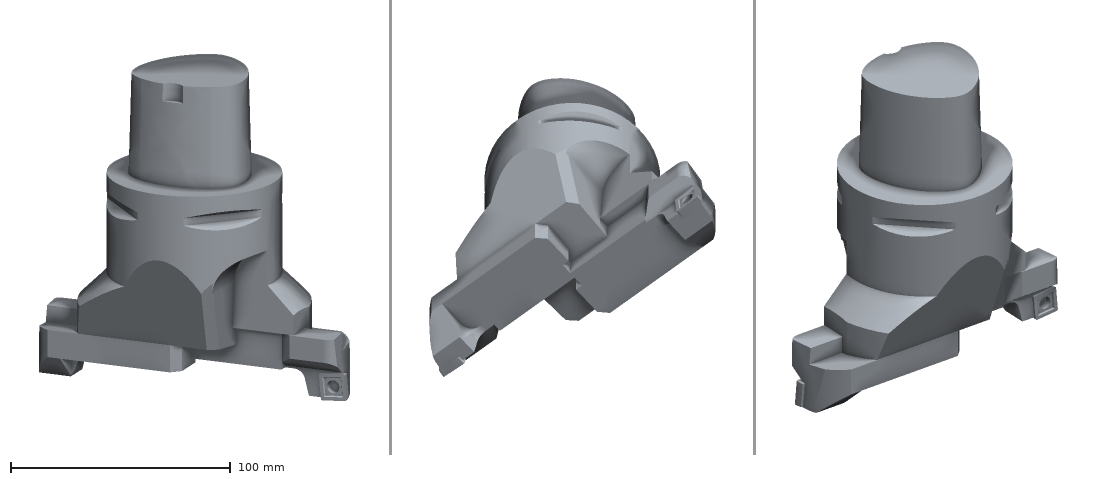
import cadquery as cq
import math

TOTAL_LENGTH = 150.0
TOTAL_HEIGHT = 149.2
COLLAR_TOP = 101.4
CONE_TOP = 54.0

SHANK_LENGTH = TOTAL_HEIGHT - COLLAR_TOP
SHANK_MEAN_RADIUS = 26.7
SHANK_TAPER = 0.028
LOBE_HEIGHT = 2.1
LOBE_HALF_ANGLE = 33.5
CURVE_STEPS = 8
KEYWAY_RADIUS = 6.3
KEYWAY_CENTRE_Y = -28.2
KEYWAY_DEPTH = 8.2

COLLAR_RADIUS = 80.0 / 2
SKIRT_RADIUS = 53.4
SKIRT_HALF_LENGTH = 52.3
CONE_BOTTOM = CONE_TOP - (SKIRT_RADIUS - COLLAR_RADIUS)
FLANK_TOP = 70.0
FLANK_SLOPE = 0.32
GRIP_CHORD_DISTANCE = 35.2
GRIP_MID_HEIGHT = 89.2
GRIP_FLAT_HEIGHT = 3.6
GRIP_OPENING = 8.7
BIG = 90.0

POCKET_WALL_X = 21.6
POCKET_WALL_TILT = 0.047
POCKET_ARC_BOTTOM = 55.2
POCKET_TOP = 70.8
POCKET_TOP_X = 39.3
POCKET_CHAMFER = 4.2

KEY_HALF_WIDTH = 6.9
KEY_TOP = 31.5
KEY_CLEARANCE = 0.3
SLIDE_HALF_WIDTH = 26.1
SLIDE_BOTTOM = 13.0
ROOF_HEIGHT = 23.2
ROOF_SLOPE = 0.14
SLIDE_OVERLAP = 3.5
SLIDE_END_CHAMFER = 4.2
TIP_X = 73.6
NOSE_FILLET = 6.5
NOSE_ARC_START_X = 61.6
NOSE_ARC_MID = (69.7, 17.0)
END_FACE_X = 71.1
END_FACE_LEAD = 0.09
END_FACE_RELIEF = 0.12
KEY_RECESS_Y = -1.5
KEY_RECESS_END_X = 44.2
KEY_STEP_END_X = 50.4

HEAD_BOTTOM = 0.97
HEAD_INNER_X = 55.8
HEAD_FILLET_START_X = 48.5
HEAD_FILLET_MID = (52.2, 11.5)
HEAD_FILLET_END = (53.8, 8.4)
UNDERCUT_END_Y = 12.9
WEB_WIDTH_Y = 6.1
WEB_FILLET = 6.3
WEB_OUTER_X = 55.5
CHIP_ROOF_BACK = 14.0
CHIP_ROOF_SLOPE = 0.69
CHIP_START_X = 44.0

INSERT_SIDE = 12.7
INSERT_CORNER = 0.7
INSERT_THICKNESS = 3.9
INSERT_RELIEF = 7.0
INSERT_TILT = 5.0
TILT_ANGLE = math.radians(INSERT_TILT)
INSERT_REACH = (
    (INSERT_SIDE / 2 - INSERT_CORNER) * (math.cos(TILT_ANGLE) + math.sin(TILT_ANGLE)) + INSERT_CORNER
)
INSERT_CENTRE_X = TOTAL_LENGTH / 2 - INSERT_REACH
INSERT_CENTRE_Z = INSERT_REACH
INSERT_FACE_Y = 1.27
INSERT_STEP = 1.3
INSERT_HOLE_DIAMETER = 6.1
DISH_SIDE = 9.3
DISH_DEPTH = 0.7
DISH_DRAFT = 30.0


def half_turn(shape):
    return shape.rotate((0, 0, 0), (0, 0, 1), 180)


def prism_along_x(points, start, end):
    return cq.Workplane("YZ", origin=(start, 0, 0)).polyline(points).close().extrude(end - start)



def shank_profile(mean_radius, height):
    """Three lobes and three flanks, the curve whose support is mean + lobe * cos(3 * angle)."""
    def point(degrees):
        angle = math.radians(degrees)
        support = mean_radius + LOBE_HEIGHT * math.cos(3 * angle)
        change = -3 * LOBE_HEIGHT * math.sin(3 * angle)
        across = support * math.cos(angle) - change * math.sin(angle)
        along = support * math.sin(angle) + change * math.cos(angle)
        return cq.Vector(-along, across, height)

    def curve(start, end):
        step = (end - start) / CURVE_STEPS
        return cq.Edge.makeSpline([point(start + step * i) for i in range(CURVE_STEPS + 1)])

    edges = []
    for tip in (0, 120, 240):
        edges.append(curve(tip - LOBE_HALF_ANGLE, tip + LOBE_HALF_ANGLE))
        edges.append(curve(tip + LOBE_HALF_ANGLE, tip + 120 - LOBE_HALF_ANGLE))
    return cq.Wire.assembleEdges(edges)


def make_shank():
    base_radius = SHANK_MEAN_RADIUS + SHANK_TAPER * SHANK_LENGTH
    bottom = shank_profile(base_radius, COLLAR_TOP)
    top = shank_profile(SHANK_MEAN_RADIUS, TOTAL_HEIGHT)
    keyway = (
        cq.Workplane("XY", origin=(0, KEYWAY_CENTRE_Y, TOTAL_HEIGHT - KEYWAY_DEPTH))
        .circle(KEYWAY_RADIUS).extrude(KEYWAY_DEPTH)
    )
    return cq.Workplane(cq.Solid.makeLoft([bottom, top], True)).cut(keyway)


def flank_y(height):
    return COLLAR_RADIUS - FLANK_SLOPE * (FLANK_TOP - height)


def make_skirt_and_collar():
    turned = (
        cq.Workplane("XZ")
        .polyline([(0, 0), (SKIRT_RADIUS, 0), (SKIRT_RADIUS, CONE_BOTTOM), (COLLAR_RADIUS, CONE_TOP),
                   (COLLAR_RADIUS, COLLAR_TOP), (0, COLLAR_TOP)])
        .close().revolve(360, (0, 0, 0), (0, 1, 0))
    )
    between_flanks = prism_along_x(
        [(-flank_y(0), 0), (flank_y(0), 0),
         (flank_y(COLLAR_TOP), COLLAR_TOP), (-flank_y(COLLAR_TOP), COLLAR_TOP)],
        -SKIRT_HALF_LENGTH, SKIRT_HALF_LENGTH)
    return turned.intersect(between_flanks)


def make_grip_groove():
    depth = COLLAR_RADIUS - GRIP_CHORD_DISTANCE
    half_flat = GRIP_FLAT_HEIGHT / 2
    flare = (GRIP_OPENING - GRIP_FLAT_HEIGHT) / 2
    return (
        cq.Workplane("XZ", origin=(GRIP_CHORD_DISTANCE, 0, GRIP_MID_HEIGHT))
        .polyline([(0, -half_flat), (depth, -half_flat - flare), (depth, half_flat + flare), (0, half_flat)])
        .close().extrude(COLLAR_RADIUS, both=True)
    )


def make_clearance_pocket():
    """Pocket over the +X insert, open toward -Y, with its wall corner chamfered along the flank."""
    arc_bottom_x = POCKET_WALL_X + POCKET_WALL_TILT * (POCKET_ARC_BOTTOM - ROOF_HEIGHT)
    base_x = POCKET_WALL_X - POCKET_WALL_TILT * ROOF_HEIGHT
    radius = POCKET_TOP - POCKET_ARC_BOTTOM
    diagonal = radius * math.cos(math.pi / 4)
    arc_mid = (POCKET_TOP_X - diagonal, POCKET_ARC_BOTTOM + diagonal)
    room = (
        cq.Workplane("XZ", origin=(0, -KEY_HALF_WIDTH, 0))
        .moveTo(base_x, 0).lineTo(arc_bottom_x, POCKET_ARC_BOTTOM)
        .threePointArc(arc_mid, (POCKET_TOP_X, POCKET_TOP))
        .lineTo(BIG, POCKET_TOP).lineTo(BIG, 0).close().extrude(BIG)
    )
    corner_y = -flank_y(0)
    triangle = cq.Wire.makePolygon([
        cq.Vector(base_x - 2 * POCKET_CHAMFER, corner_y - POCKET_CHAMFER, 0),
        cq.Vector(base_x, corner_y + POCKET_CHAMFER, 0),
        cq.Vector(base_x, corner_y - POCKET_CHAMFER, 0)], close=True)
    along_flank = cq.Vector(POCKET_WALL_TILT, -FLANK_SLOPE, 1) * POCKET_TOP
    return room.union(cq.Workplane(cq.Solid.extrudeLinear(triangle, [], along_flank)))


def roof_height(y):
    return ROOF_HEIGHT + ROOF_SLOPE * (y - KEY_HALF_WIDTH)


def make_slide_room():
    """Space under the housing for the two slides: a two-sided roof and the key slots."""
    ceiling = prism_along_x(
        [(-BIG, 0), (BIG, 0), (BIG, roof_height(BIG)), (0, roof_height(0)), (-BIG, roof_height(BIG))],
        -BIG, BIG)
    slot_top = KEY_TOP + KEY_CLEARANCE
    inner_slot = cq.Workplane("XY").box(
        POCKET_WALL_X, KEY_HALF_WIDTH - KEY_RECESS_Y, slot_top, centered=False)
    inner_slot = inner_slot.translate((0, KEY_RECESS_Y, 0))
    outer_slot = cq.Workplane("XY").box(
        BIG, 2 * KEY_HALF_WIDTH, slot_top, centered=(False, True, False))
    outer_slot = outer_slot.translate((POCKET_WALL_X, 0, 0))
    slot = inner_slot.union(outer_slot)
    return ceiling.union(slot).union(half_turn(slot))


def make_housing():
    body = make_skirt_and_collar()
    for quarter in range(4):
        body = body.cut(make_grip_groove().rotate((0, 0, 0), (0, 0, 1), 45 + 90 * quarter))
    pocket = make_clearance_pocket()
    body = body.cut(pocket).cut(half_turn(pocket)).cut(make_slide_room())
    return body.union(make_shank())



def make_slide_plan():
    """Outline of the slide from above, with its rounded outer nose, as a tall block."""
    nose_mid = NOSE_FILLET * math.cos(math.pi / 4)
    fillet_x = TIP_X - NOSE_FILLET
    fillet_y = NOSE_FILLET - KEY_HALF_WIDTH
    chamfer_x = SLIDE_END_CHAMFER - SLIDE_OVERLAP
    return (
        cq.Workplane("XY")
        .moveTo(0, KEY_RECESS_Y).lineTo(KEY_RECESS_END_X, KEY_RECESS_Y)
        .lineTo(KEY_STEP_END_X, -KEY_HALF_WIDTH)
        .lineTo(fillet_x, -KEY_HALF_WIDTH)
        .threePointArc((fillet_x + nose_mid, fillet_y - nose_mid), (TIP_X, fillet_y))
        .threePointArc(NOSE_ARC_MID, (NOSE_ARC_START_X, SLIDE_HALF_WIDTH))
        .lineTo(chamfer_x, SLIDE_HALF_WIDTH)
        .lineTo(-SLIDE_OVERLAP, SLIDE_HALF_WIDTH - SLIDE_END_CHAMFER)
        .lineTo(-SLIDE_OVERLAP, KEY_HALF_WIDTH).lineTo(0, KEY_HALF_WIDTH).close().extrude(KEY_TOP)
    )


def make_side_profile():
    """Bar with the head hanging below its outer end."""
    return (
        cq.Workplane("XZ", origin=(0, BIG, 0))
        .moveTo(-BIG, KEY_TOP).lineTo(-BIG, SLIDE_BOTTOM).lineTo(HEAD_FILLET_START_X, SLIDE_BOTTOM)
        .threePointArc(HEAD_FILLET_MID, HEAD_FILLET_END).lineTo(HEAD_INNER_X, HEAD_BOTTOM)
        .lineTo(BIG, HEAD_BOTTOM).lineTo(BIG, KEY_TOP).close().extrude(2 * BIG)
    )


def make_cross_section():
    """Key, sloping wing and the undercut below the wing."""
    return prism_along_x(
        [(-KEY_HALF_WIDTH, 0), (-KEY_HALF_WIDTH, KEY_TOP), (KEY_HALF_WIDTH, KEY_TOP),
         (KEY_HALF_WIDTH, ROOF_HEIGHT), (SLIDE_HALF_WIDTH, roof_height(SLIDE_HALF_WIDTH)),
         (SLIDE_HALF_WIDTH, SLIDE_BOTTOM), (UNDERCUT_END_Y, HEAD_BOTTOM), (UNDERCUT_END_Y, 0)], -BIG, BIG)


def make_end_relief():
    """Material beyond the outer end face, which leans outward downward and inward toward +Y."""
    def end_x(y):
        return END_FACE_X + END_FACE_LEAD * KEY_TOP - END_FACE_RELIEF * y

    outline = cq.Wire.makePolygon([
        cq.Vector(end_x(-BIG), -BIG, 0), cq.Vector(2 * BIG, -BIG, 0),
        cq.Vector(2 * BIG, BIG, 0), cq.Vector(end_x(BIG), BIG, 0)], close=True)
    upward = cq.Vector(-END_FACE_LEAD, 0, 1) * KEY_TOP
    return cq.Workplane(cq.Solid.extrudeLinear(outline, [], upward))


def make_chip_room(head_face_y):
    """Open space in front of the head face, below the sloping underside of the key."""
    roof_front = CHIP_ROOF_BACK + CHIP_ROOF_SLOPE * (head_face_y + KEY_HALF_WIDTH)
    return prism_along_x(
        [(-KEY_HALF_WIDTH, 0), (head_face_y, 0),
         (head_face_y, CHIP_ROOF_BACK), (-KEY_HALF_WIDTH, roof_front)],
        CHIP_START_X, BIG)


def make_outer_head_room():
    """Space beside the web, which flares into the head with an upright fillet."""
    centre_x = WEB_OUTER_X - WEB_FILLET
    centre_y = WEB_WIDTH_Y + WEB_FILLET
    diagonal = WEB_FILLET * math.cos(math.pi / 4)
    return (
        cq.Workplane("XY")
        .moveTo(0, WEB_WIDTH_Y).lineTo(centre_x, WEB_WIDTH_Y)
        .threePointArc((centre_x + diagonal, centre_y - diagonal), (WEB_OUTER_X, centre_y))
        .lineTo(WEB_OUTER_X, BIG).lineTo(0, BIG).close().extrude(SLIDE_BOTTOM)
    )


def make_slide(head_face_y):
    blank = make_slide_plan().intersect(make_side_profile()).intersect(make_cross_section())
    return blank.cut(make_outer_head_room()).cut(make_end_relief()).cut(make_chip_room(head_face_y))


def make_slides(insert_blanks):
    """One slide toward +X and one turned half a turn, each with a seat cut for its insert."""
    right = make_slide(INSERT_STEP + INSERT_FACE_Y)
    left = half_turn(make_slide(INSERT_STEP - INSERT_FACE_Y))
    return [slide.cut(blank) for slide, blank in zip([right, left], insert_blanks)]



def place_insert(shape):
    """Turn an insert lying on its face so that the face looks toward -Y at the +X head."""
    turned = shape.rotate((0, 0, 0), (1, 0, 0), -90).rotate((0, 0, 0), (0, 1, 0), -INSERT_TILT)
    return turned.translate((INSERT_CENTRE_X, 0, INSERT_CENTRE_Z))


def make_insert_blank():
    outline = cq.Sketch().rect(INSERT_SIDE, INSERT_SIDE).vertices().fillet(INSERT_CORNER)
    return cq.Workplane("XY").placeSketch(outline).extrude(INSERT_THICKNESS, taper=INSERT_RELIEF)


def make_insert():
    dish = cq.Workplane("XY").rect(DISH_SIDE, DISH_SIDE).extrude(DISH_DEPTH, taper=DISH_DRAFT)
    hole = cq.Workplane("XY").circle(INSERT_HOLE_DIAMETER / 2).extrude(INSERT_THICKNESS)
    return make_insert_blank().cut(dish).cut(hole)


def both_insert_positions(insert):
    """Both cutting faces lie on the same plane, one insert on each side of it."""
    placed = place_insert(insert)
    offset = (0, INSERT_FACE_Y, 0)
    return [placed.translate(offset), half_turn(placed).translate(offset)]


housing = make_housing()
slides = make_slides(both_insert_positions(make_insert_blank()))
inserts = both_insert_positions(make_insert())

result = cq.Compound.makeCompound([body.val() for body in [housing, *slides, *inserts]])